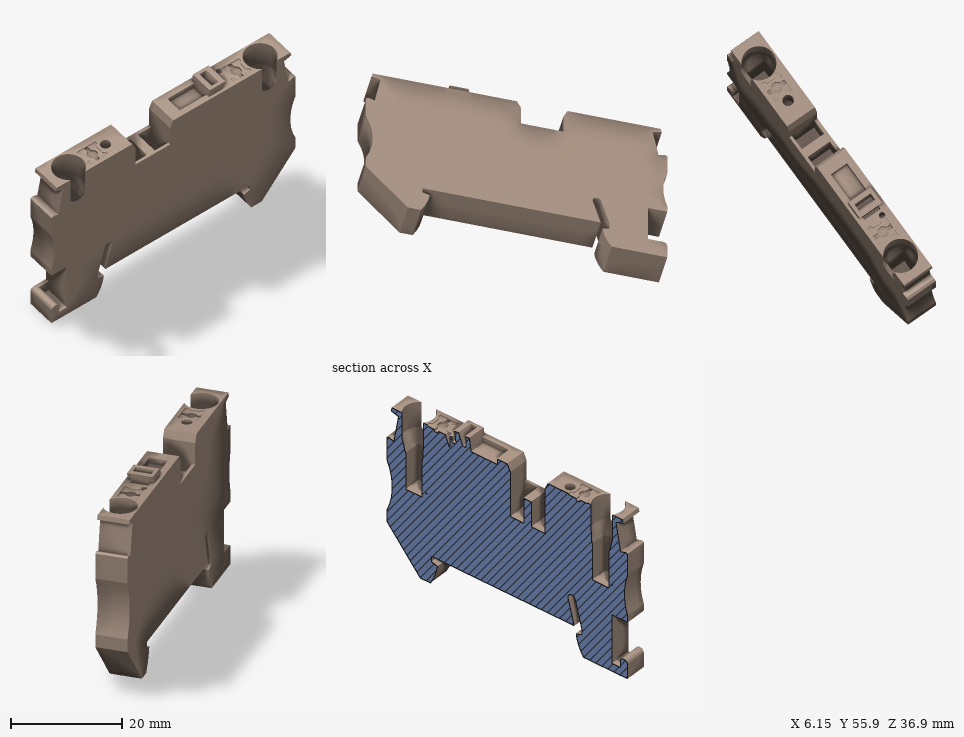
import cadquery as cq

THICKNESS = 6.15
LENGTH = 55.9
HEIGHT = 36.85

DECK_Z = 35.2
NOTCH_FLOOR_Z = 29.3
NOTCH_Y = (19.25, 27.15)
NOTCH_BEVEL_Y = 0.7
NOTCH_BEVEL_Z = 1.55

SHELF_Z = 28.0
SHELF_CREST = (0.5, 28.25)
RECESS_FOOT = (1.6, 27.85)
RECESS_HEAD = (2.7, 33.9)
LIP_TIP = (1.0, 34.4)
LIP_TOP_Y = 1.25

FRONT_GRIP_Z = (14.2, 18.7, 23.25)
FRONT_GRIP_DEPTH = 0.7
BACK_GRIP_Z = (11.7, 17.35, 23.0)
BACK_GRIP_DEPTH = 1.25

RAIL_SEAT_Z = 6.1
RAIL_HOOK_Y = (10.7, 45.45)
RAIL_CATCH_Z = 5.0
TOE_TIP_Z = 4.5
TOE_TIP_Y = (12.0, 44.05)
TOE_BULGE_Z = 2.05
TOE_BULGE_Y = (11.4, 44.7)
TOE_BASE_Y = (10.3, 45.7)
BACK_SLOPE_TOP_Z = 9.1
BACK_SLOPE_BASE_Y = 48.15
SPRING_SLOT_MOUTH_Y = 12.35
SPRING_SLOT_BACK = (13.85, 11.85)
SPRING_SLOT_CROWN = (13.15, 12.7)
SPRING_SLOT_FRONT = (12.3, 12.2)

FOOT_TOP_Z = 4.1
FOOT_LENGTH = 3.6
FOOT_UNDERCUT_TOP_Z = 12.65
FOOT_LIP_RADIUS = 0.9
FOOT_WALL = 0.8
FOOT_RECESS_DEPTH = 2.25

DECK_CENTER_X = 0.05

FUNNEL_X = 0.4
FUNNEL_END_DISTANCE = 6.05
FUNNEL_DIAMETER = 6.3
FUNNEL_STRAIGHT_DEPTH = 5.6
FUNNEL_TAPER_DEPTH = 3.1
WIRE_HOLE_X = 0.0
WIRE_HOLE_WIDTH = 3.9
WIRE_HOLE_LENGTH = 3.7
WIRE_HOLE_DEPTH = 16.75
WIRE_HOLE_INSET = 0.3

TERMINAL_X = 0.365
TERMINAL_END_DISTANCE = 11.5
TERMINAL_WIDTH = 3.85
TERMINAL_LENGTH = 4.3
TERMINAL_DEPTH = 0.2
TONGUE_ROOT_WIDTH = 2.55
TONGUE_TIP_WIDTH = 1.8
TONGUE_LENGTH = 0.55
CONTACT_SLOT_WIDTH = 0.85
CONTACT_DIAMETER = 2.05
CONTACT_DEPTH = 0.65

TEST_HOLE_CENTER = (0.1, 14.7)
TEST_HOLE_DIAMETER = 2.05
TEST_HOLE_DEPTH = 4.45
TEST_HOLE_FLAT = 0.65

PIN_HOLE_CENTER = (-1.3, 41.8)
PIN_HOLE_DIAMETER = 1.2
PIN_HOLE_DEPTH = 2.8

BRIDGE_POCKET_WIDTH = 4.9
BRIDGE_POCKET_LENGTH = 3.1
BRIDGE_POCKET_DEPTH = 5.6

SLIDER_POCKET_WIDTH = 3.6
SLIDER_POCKET_Y = (30.3, 40.7)
SLIDER_POCKET_DEPTH = 1.25

SLIDER_WIDTH = 4.9
SLIDER_FRONT_Y = 36.45
SLIDER_BACK_Y = 40.0
SLIDER_LEAN = 0.2
SLIDER_CORNER_RADIUS = 0.8
GRIP_Y = (37.6, 39.2)
GRIP_FLOOR_LENGTH = 0.6
GRIP_DEPTH = 2.45


def extrude_along_x(profile, width, center_x=0.0):
    """Extrude a YZ profile by the given width, centred on center_x."""
    return profile.extrude(width / 2, both=True).translate((center_x, 0, 0))


def box_between(width, center_x, y_range, z_range):
    """Make a box from its width along X and its ranges along Y and Z."""
    length = y_range[1] - y_range[0]
    height = z_range[1] - z_range[0]
    box = cq.Workplane("XY").box(width, length, height, centered=(True, False, False))
    return box.translate((center_x, y_range[0], z_range[0]))


def make_housing():
    """Extrude the side outline, traced from the -Y bottom corner up and over the deck."""
    outline = (
        cq.Workplane("YZ")
        .moveTo(0, 0)
        .lineTo(0, FOOT_TOP_Z - FOOT_LIP_RADIUS)
        .radiusArc((FOOT_LIP_RADIUS, FOOT_TOP_Z), FOOT_LIP_RADIUS)
        .lineTo(FOOT_LENGTH, FOOT_TOP_Z)
        .lineTo(FOOT_LENGTH, FOOT_UNDERCUT_TOP_Z)
        .lineTo(0, FOOT_UNDERCUT_TOP_Z)
        .lineTo(0, FRONT_GRIP_Z[0])
        .threePointArc((FRONT_GRIP_DEPTH, FRONT_GRIP_Z[1]), (0, FRONT_GRIP_Z[2]))
        .lineTo(0, SHELF_Z)
        .lineTo(*SHELF_CREST)
        .lineTo(*RECESS_FOOT)
        .lineTo(*RECESS_HEAD)
        .lineTo(*LIP_TIP)
        .lineTo(LIP_TOP_Y, DECK_Z)
        .lineTo(NOTCH_Y[0] - NOTCH_BEVEL_Y, DECK_Z)
        .lineTo(NOTCH_Y[0], DECK_Z - NOTCH_BEVEL_Z)
        .lineTo(NOTCH_Y[0], NOTCH_FLOOR_Z)
        .lineTo(NOTCH_Y[1], NOTCH_FLOOR_Z)
        .lineTo(NOTCH_Y[1], DECK_Z - NOTCH_BEVEL_Z)
        .lineTo(NOTCH_Y[1] + NOTCH_BEVEL_Y, DECK_Z)
        .lineTo(LENGTH - LIP_TOP_Y, DECK_Z)
        .lineTo(LENGTH - LIP_TIP[0], LIP_TIP[1])
        .lineTo(LENGTH - RECESS_HEAD[0], RECESS_HEAD[1])
        .lineTo(LENGTH - RECESS_FOOT[0], RECESS_FOOT[1])
        .lineTo(LENGTH - SHELF_CREST[0], SHELF_CREST[1])
        .lineTo(LENGTH, SHELF_Z)
        .lineTo(LENGTH, BACK_GRIP_Z[2])
        .threePointArc((LENGTH - BACK_GRIP_DEPTH, BACK_GRIP_Z[1]), (LENGTH, BACK_GRIP_Z[0]))
        .lineTo(LENGTH, BACK_SLOPE_TOP_Z)
        .lineTo(BACK_SLOPE_BASE_Y, 0)
        .lineTo(TOE_BASE_Y[1], 0)
        .threePointArc((TOE_BULGE_Y[1], TOE_BULGE_Z), (TOE_TIP_Y[1], TOE_TIP_Z))
        .lineTo(RAIL_HOOK_Y[1], RAIL_CATCH_Z)
        .lineTo(RAIL_HOOK_Y[1], RAIL_SEAT_Z)
        .lineTo(SPRING_SLOT_MOUTH_Y, RAIL_SEAT_Z)
        .lineTo(*SPRING_SLOT_BACK)
        .threePointArc(SPRING_SLOT_CROWN, SPRING_SLOT_FRONT)
        .lineTo(RAIL_HOOK_Y[0], RAIL_SEAT_Z)
        .lineTo(RAIL_HOOK_Y[0], RAIL_CATCH_Z)
        .lineTo(TOE_TIP_Y[0], TOE_TIP_Z)
        .threePointArc((TOE_BULGE_Y[0], TOE_BULGE_Z), (TOE_BASE_Y[0], 0))
        .close()
    )
    return extrude_along_x(outline, THICKNESS)


def make_foot_recess():
    """Recess behind the rounded lip of the release foot, open toward +X."""
    floor_z = FOOT_TOP_Z - FOOT_RECESS_DEPTH
    lip_back_y = 2 * FOOT_LIP_RADIUS
    profile = (
        cq.Workplane("YZ", origin=(FOOT_WALL - THICKNESS / 2, 0, 0))
        .moveTo(FOOT_LIP_RADIUS, FOOT_TOP_Z)
        .radiusArc((lip_back_y, FOOT_TOP_Z - FOOT_LIP_RADIUS), FOOT_LIP_RADIUS)
        .lineTo(lip_back_y, floor_z)
        .lineTo(FOOT_LENGTH, floor_z)
        .lineTo(FOOT_LENGTH, FOOT_TOP_Z)
        .close()
    )
    return profile.extrude(THICKNESS - FOOT_WALL)


def make_wire_entry():
    """Round funnel at the -Y end that narrows to a rectangular wire hole."""
    y = FUNNEL_END_DISTANCE
    hole_offset = (WIRE_HOLE_X - FUNNEL_X, WIRE_HOLE_INSET)
    taper_top_z = DECK_Z - FUNNEL_STRAIGHT_DEPTH
    cylinder = (
        cq.Workplane("XY", origin=(FUNNEL_X, y, taper_top_z))
        .circle(FUNNEL_DIAMETER / 2)
        .extrude(FUNNEL_STRAIGHT_DEPTH)
    )
    taper = (
        cq.Workplane("XY", origin=(FUNNEL_X, y, taper_top_z))
        .circle(FUNNEL_DIAMETER / 2)
        .workplane(offset=-FUNNEL_TAPER_DEPTH)
        .center(*hole_offset)
        .rect(WIRE_HOLE_WIDTH, WIRE_HOLE_LENGTH)
        .loft(ruled=True)
    )
    hole_y = y + WIRE_HOLE_INSET
    hole = box_between(
        WIRE_HOLE_WIDTH,
        WIRE_HOLE_X,
        (hole_y - WIRE_HOLE_LENGTH / 2, hole_y + WIRE_HOLE_LENGTH / 2),
        (DECK_Z - WIRE_HOLE_DEPTH, taper_top_z - FUNNEL_TAPER_DEPTH),
    )
    return cylinder.union(taper).union(hole)


def make_terminal_recess():
    """Shallow recess at the -Y end, with a tongue at each side and a deeper slotted round."""
    half_width = TERMINAL_WIDTH / 2
    half_length = TERMINAL_LENGTH / 2
    tongue_y = half_length - TONGUE_LENGTH
    deck_plane = cq.Workplane("XY", origin=(TERMINAL_X, TERMINAL_END_DISTANCE, DECK_Z))
    half_outline = [
        (-half_width, half_length),
        (-TONGUE_ROOT_WIDTH / 2, half_length),
        (-TONGUE_TIP_WIDTH / 2, tongue_y),
        (TONGUE_TIP_WIDTH / 2, tongue_y),
        (TONGUE_ROOT_WIDTH / 2, half_length),
        (half_width, half_length),
    ]
    other_half = [(-x, -y) for x, y in half_outline]
    recess = deck_plane.polyline(half_outline + other_half).close().extrude(-TERMINAL_DEPTH)
    slot = deck_plane.rect(TERMINAL_WIDTH, CONTACT_SLOT_WIDTH).extrude(-CONTACT_DEPTH)
    contact = deck_plane.circle(CONTACT_DIAMETER / 2).extrude(-CONTACT_DEPTH)
    return recess.union(slot).union(contact)


def make_round_hole(center, diameter, depth):
    """Vertical round hole from the deck."""
    return cq.Workplane("XY", origin=(*center, DECK_Z)).circle(diameter / 2).extrude(-depth)


def make_test_hole():
    """Round hole whose floor is level at its +Y side and curves up toward -Y."""
    center_y = TEST_HOLE_CENTER[1]
    floor_z = DECK_Z - TEST_HOLE_DEPTH
    back_y = center_y + TEST_HOLE_DIAMETER / 2
    front_y = center_y - TEST_HOLE_DIAMETER / 2
    rise = TEST_HOLE_DIAMETER - TEST_HOLE_FLAT
    side = (
        cq.Workplane("YZ")
        .moveTo(back_y, DECK_Z)
        .lineTo(back_y, floor_z)
        .lineTo(back_y - TEST_HOLE_FLAT, floor_z)
        .radiusArc((front_y, floor_z + rise), rise)
        .lineTo(front_y, DECK_Z)
        .close()
    )
    bounds = extrude_along_x(side, THICKNESS)
    return make_round_hole(TEST_HOLE_CENTER, TEST_HOLE_DIAMETER, TEST_HOLE_DEPTH).intersect(bounds)


def make_pin_hole():
    """Small round hole whose floor slopes down toward -Y from the deck."""
    center_y = PIN_HOLE_CENTER[1]
    front_y = center_y - PIN_HOLE_DIAMETER / 2
    back_y = center_y + PIN_HOLE_DIAMETER / 2
    side = (
        cq.Workplane("YZ")
        .moveTo(front_y, DECK_Z)
        .lineTo(back_y, DECK_Z)
        .lineTo(front_y, DECK_Z - PIN_HOLE_DEPTH)
        .close()
    )
    bounds = extrude_along_x(side, THICKNESS)
    return make_round_hole(PIN_HOLE_CENTER, PIN_HOLE_DIAMETER, PIN_HOLE_DEPTH).intersect(bounds)


def make_bridge_pockets():
    """Two pockets in the notch floor, each against one wall of the notch."""
    z_range = (NOTCH_FLOOR_Z - BRIDGE_POCKET_DEPTH, NOTCH_FLOOR_Z)
    front_range = (NOTCH_Y[0], NOTCH_Y[0] + BRIDGE_POCKET_LENGTH)
    back_range = (NOTCH_Y[1] - BRIDGE_POCKET_LENGTH, NOTCH_Y[1])
    front = box_between(BRIDGE_POCKET_WIDTH, DECK_CENTER_X, front_range, z_range)
    back = box_between(BRIDGE_POCKET_WIDTH, DECK_CENTER_X, back_range, z_range)
    return front.union(back)


def make_slider():
    """Leaning slider with a grip slot, on a stem that stands in the slider pocket."""
    rise = HEIGHT - DECK_Z
    radius = SLIDER_CORNER_RADIUS
    head_profile = (
        cq.Workplane("YZ")
        .moveTo(SLIDER_FRONT_Y, DECK_Z)
        .lineTo(SLIDER_FRONT_Y + SLIDER_LEAN, HEIGHT)
        .lineTo(SLIDER_BACK_Y + SLIDER_LEAN, HEIGHT)
        .lineTo(SLIDER_BACK_Y, DECK_Z + radius)
        .radiusArc((SLIDER_BACK_Y - radius, DECK_Z), radius)
        .close()
    )
    head = extrude_along_x(head_profile, SLIDER_WIDTH, DECK_CENTER_X)
    pocket_lean = SLIDER_LEAN * SLIDER_POCKET_DEPTH / rise
    pocket_floor_z = DECK_Z - SLIDER_POCKET_DEPTH
    stem_profile = (
        cq.Workplane("YZ")
        .moveTo(SLIDER_FRONT_Y - pocket_lean, pocket_floor_z)
        .lineTo(SLIDER_FRONT_Y + SLIDER_LEAN, HEIGHT)
        .lineTo(SLIDER_BACK_Y + SLIDER_LEAN, HEIGHT)
        .lineTo(SLIDER_BACK_Y - pocket_lean, pocket_floor_z)
        .close()
    )
    stem = extrude_along_x(stem_profile, SLIDER_POCKET_WIDTH, DECK_CENTER_X)
    grip_profile = (
        cq.Workplane("YZ")
        .moveTo(GRIP_Y[0], HEIGHT)
        .lineTo(GRIP_Y[1], HEIGHT)
        .lineTo(GRIP_Y[0] + GRIP_FLOOR_LENGTH, HEIGHT - GRIP_DEPTH)
        .lineTo(GRIP_Y[0], HEIGHT - GRIP_DEPTH)
        .close()
    )
    grip = extrude_along_x(grip_profile, SLIDER_POCKET_WIDTH, DECK_CENTER_X)
    return head.union(stem).cut(grip)


def mirrored_to_far_end(shape):
    """Mirror a shape about the middle of the length."""
    return shape.mirror("XZ", (0, LENGTH / 2, 0))


result = make_housing()
for end_feature in (make_wire_entry(), make_terminal_recess()):
    result = result.cut(end_feature).cut(mirrored_to_far_end(end_feature))

result = result.cut(make_test_hole()).cut(make_pin_hole()).cut(make_bridge_pockets())
result = result.cut(make_foot_recess())

slider_pocket = box_between(
    SLIDER_POCKET_WIDTH, DECK_CENTER_X, SLIDER_POCKET_Y, (DECK_Z - SLIDER_POCKET_DEPTH, DECK_Z)
)
result = result.cut(slider_pocket).union(make_slider())